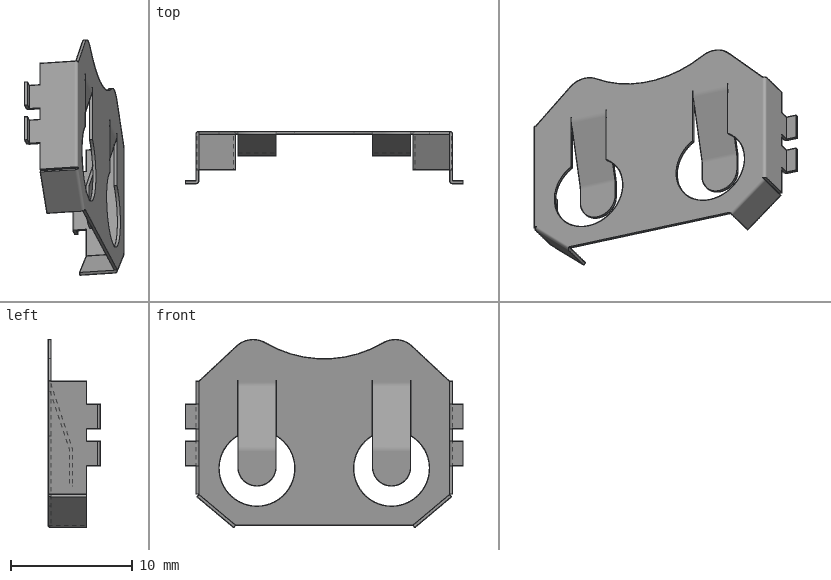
import cadquery as cq
import math

THICKNESS = 0.254
OVERALL_WIDTH = 22.86
OVERALL_DEPTH = 4.32
OVERALL_HEIGHT = 15.49

PLATE_HALF_WIDTH = 10.317
LOWER_CORNER_Z = 2.73
SHOULDER_Z = 12.05
LOWER_SLANT = math.radians(40)
PEAK_RADIUS = 2.0
PEAK_X = 5.85
DIP_Z = 13.9

FLANGE_DEPTH = 3.175
CORNER_RELIEF = 0.02
FOOT_WIDTH = 2.032
FOOT_GAP = 1.016
UPPER_FOOT_TOP_Z = 10.17

TONGUE_X = 5.54
TONGUE_WIDTH = 3.16
TONGUE_TIP_Z = 3.42
TONGUE_REACH = 2.03
TONGUE_BEND_Z = 11.91
TONGUE_ANGLE = math.radians(18.4)
TONGUE_INNER_RADIUS = 0.8
SLIT_TOP_Z = 12.13
SLIT_WIDTH = 0.01
HOLE_RADIUS = 3.11
HOLE_Z = 4.88

BOTTOM_Z = THICKNESS * math.cos(LOWER_SLANT)
BOTTOM_HALF_WIDTH = PLATE_HALF_WIDTH - (LOWER_CORNER_Z - BOTTOM_Z) / math.tan(LOWER_SLANT)
WALL_BOTTOM_Z = LOWER_CORNER_Z + CORNER_RELIEF
FOOT_REACH = OVERALL_WIDTH / 2 - PLATE_HALF_WIDTH
ARC_MIDDLE = math.sqrt(0.5)


def both_sides(shape):
    """The left-hand shape together with its mirror image."""
    return shape.union(shape.mirror("YZ"))


def along(point, direction, distance):
    return (point[0] + distance * direction[0], point[1] + distance * direction[1])


def plate():
    """Flat plate with rounded peaks either side of a concave top edge."""
    peak_center = (-PEAK_X, OVERALL_HEIGHT - PEAK_RADIUS)
    shoulder = (-PLATE_HALF_WIDTH, SHOULDER_Z)

    run = peak_center[0] - shoulder[0]
    rise = peak_center[1] - shoulder[1]
    slope = math.atan2(rise, run) + math.asin(PEAK_RADIUS / math.hypot(run, rise))
    slant_end = along(peak_center, (-math.sin(slope), math.cos(slope)), PEAK_RADIUS)

    drop = DIP_Z - peak_center[1]
    dip_radius = (PEAK_X**2 + drop**2 - PEAK_RADIUS**2) / (2 * (PEAK_RADIUS - drop))
    center_distance = dip_radius + PEAK_RADIUS
    to_dip_center = (PEAK_X / center_distance, (drop + dip_radius) / center_distance)
    dip_start = along(peak_center, to_dip_center, PEAK_RADIUS)

    return (
        cq.Workplane("XZ")
        .moveTo(-BOTTOM_HALF_WIDTH, BOTTOM_Z)
        .lineTo(-PLATE_HALF_WIDTH, LOWER_CORNER_Z)
        .lineTo(*shoulder)
        .lineTo(*slant_end)
        .threePointArc((-PEAK_X, OVERALL_HEIGHT), dip_start)
        .threePointArc((0, DIP_Z), (-dip_start[0], dip_start[1]))
        .threePointArc((PEAK_X, OVERALL_HEIGHT), (-slant_end[0], slant_end[1]))
        .lineTo(PLATE_HALF_WIDTH, SHOULDER_Z)
        .lineTo(PLATE_HALF_WIDTH, LOWER_CORNER_Z)
        .lineTo(BOTTOM_HALF_WIDTH, BOTTOM_Z)
        .close()
        .extrude(THICKNESS)
    )


def edge_section(x, z, outward):
    """Section plane across a plate edge: local x points outward, local y is +Y,
    and extrusion runs along the edge, downwards on the left-hand side."""
    out = cq.Vector(outward[0], 0, outward[1])
    edge_direction = out.cross(cq.Vector(0, 1, 0))
    return cq.Workplane(cq.Plane((x, 0, z), out, edge_direction))


def flange(x, z, outward, length):
    """Wall bent forward from a plate edge, rounded on the outside of the bend."""
    round_middle = (THICKNESS * ARC_MIDDLE, THICKNESS * (ARC_MIDDLE - 1))
    return (
        edge_section(x, z, outward)
        .threePointArc(round_middle, (THICKNESS, -THICKNESS))
        .lineTo(THICKNESS, -FLANGE_DEPTH)
        .lineTo(0, -FLANGE_DEPTH)
        .close()
        .extrude(length)
    )


def foot(top_z):
    """Tab continuing the left wall forward, then bent outward."""
    foot_back = THICKNESS - OVERALL_DEPTH
    round_middle = (THICKNESS * (1 - ARC_MIDDLE), foot_back - THICKNESS * ARC_MIDDLE)
    return (
        edge_section(-PLATE_HALF_WIDTH, top_z, (-1, 0))
        .moveTo(0, -FLANGE_DEPTH)
        .lineTo(0, foot_back)
        .threePointArc(round_middle, (THICKNESS, -OVERALL_DEPTH))
        .lineTo(FOOT_REACH, -OVERALL_DEPTH)
        .lineTo(FOOT_REACH, foot_back)
        .lineTo(THICKNESS, foot_back)
        .lineTo(THICKNESS, -FLANGE_DEPTH)
        .close()
        .extrude(FOOT_WIDTH)
    )


def left_walls():
    side = flange(-PLATE_HALF_WIDTH, SHOULDER_Z, (-1, 0), SHOULDER_Z - WALL_BOTTOM_Z)
    slant_length = (LOWER_CORNER_Z - BOTTOM_Z) / math.sin(LOWER_SLANT)
    slant_outward = (-math.sin(LOWER_SLANT), -math.cos(LOWER_SLANT))
    walls = side.union(flange(-PLATE_HALF_WIDTH, LOWER_CORNER_Z, slant_outward, slant_length))
    for index in range(2):
        walls = walls.union(foot(UPPER_FOOT_TOP_Z - index * (FOOT_WIDTH + FOOT_GAP)))
    return walls


def tongue_opening():
    """Round hole joined to the window that the tongue is bent out of."""
    window_width = TONGUE_WIDTH + 2 * SLIT_WIDTH
    window_height = SLIT_TOP_Z - HOLE_Z
    hole = cq.Workplane("XZ").center(-TONGUE_X, HOLE_Z).circle(HOLE_RADIUS).extrude(THICKNESS)
    window = (
        cq.Workplane("XZ")
        .center(-TONGUE_X, HOLE_Z + window_height / 2)
        .rect(window_width, window_height)
        .extrude(THICKNESS)
    )
    return hole.union(window)


def tongue():
    """Spring tongue: a strip bent forward, bent back upright, with a round tip."""
    inner = TONGUE_INNER_RADIUS
    outer = inner + THICKNESS
    sine = math.sin(TONGUE_ANGLE)
    cosine = math.cos(TONGUE_ANGLE)
    half_sine = math.sin(TONGUE_ANGLE / 2)
    half_cosine = math.cos(TONGUE_ANGLE / 2)

    travel = TONGUE_REACH - THICKNESS
    slope_travel = travel - (inner + outer) * (1 - cosine)
    slope_drop = slope_travel / math.tan(TONGUE_ANGLE)
    pad_top_z = TONGUE_BEND_Z - (inner + outer) * sine - slope_drop

    upper_y = -outer
    lower_y = outer - TONGUE_REACH

    def upper_bend(radius, sin_angle, cos_angle):
        return (upper_y + radius * cos_angle, TONGUE_BEND_Z - radius * sin_angle)

    def lower_bend(radius, sin_angle, cos_angle):
        return (lower_y - radius * cos_angle, pad_top_z + radius * sin_angle)

    strip = (
        cq.Workplane("YZ")
        .moveTo(-THICKNESS, SLIT_TOP_Z)
        .lineTo(-THICKNESS, TONGUE_BEND_Z)
        .threePointArc(upper_bend(inner, half_sine, half_cosine), upper_bend(inner, sine, cosine))
        .lineTo(*lower_bend(outer, sine, cosine))
        .threePointArc(lower_bend(outer, half_sine, half_cosine), (-TONGUE_REACH, pad_top_z))
        .lineTo(-TONGUE_REACH, TONGUE_TIP_Z)
        .lineTo(THICKNESS - TONGUE_REACH, TONGUE_TIP_Z)
        .lineTo(THICKNESS - TONGUE_REACH, pad_top_z)
        .threePointArc(lower_bend(inner, half_sine, half_cosine), lower_bend(inner, sine, cosine))
        .lineTo(*upper_bend(outer, sine, cosine))
        .threePointArc(upper_bend(outer, half_sine, half_cosine), (0, TONGUE_BEND_Z))
        .lineTo(0, SLIT_TOP_Z)
        .close()
        .extrude(TONGUE_WIDTH / 2, both=True)
        .translate((-TONGUE_X, 0, 0))
    )

    half_width = TONGUE_WIDTH / 2
    tip_center_z = TONGUE_TIP_Z + half_width
    outline = (
        cq.Workplane("XZ")
        .center(-TONGUE_X, 0)
        .moveTo(-half_width, SLIT_TOP_Z)
        .lineTo(-half_width, tip_center_z)
        .threePointArc((0, TONGUE_TIP_Z), (half_width, tip_center_z))
        .lineTo(half_width, SLIT_TOP_Z)
        .close()
        .extrude(OVERALL_DEPTH)
    )
    return strip.intersect(outline)


result = (
    plate()
    .cut(both_sides(tongue_opening()))
    .union(both_sides(left_walls()))
    .union(both_sides(tongue()))
)